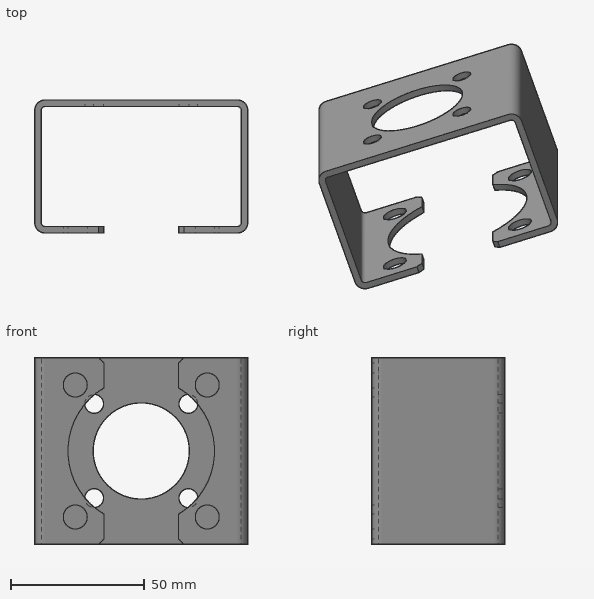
import cadquery as cq
import math

width = 80.0
depth = 50.0
height = 70.0
sheet = 2.5
bend_outer_radius = 4.0
bend_inner_radius = bend_outer_radius - sheet

lip_gap = 28.0
lip_chamfer = 2.0
lip_cutout_diameter = 55.0
lip_hole_diameter = 9.0
lip_hole_spacing = 49.5

bore_diameter = 36.0
back_hole_diameter = 7.0
back_hole_circle_diameter = 50.0
back_hole_spacing = back_hole_circle_diameter * math.sin(math.radians(45))

front_face = -depth / 2
back_face = depth / 2
wall_cut_depth = 3 * sheet


def tube():
    """Closed rectangular tube standing along Z, with rounded bends."""
    outer = cq.Workplane("XY").box(width, depth, height)
    outer = outer.edges("|Z").fillet(bend_outer_radius)
    inner = cq.Workplane("XY").box(width - 2 * sheet, depth - 2 * sheet, height)
    inner = inner.edges("|Z").fillet(bend_inner_radius)
    return outer.cut(inner)


def wall_plane(wall_face):
    """XZ sketch plane lying half a cut depth in front of a wall face."""
    start = wall_face - wall_cut_depth / 2
    return cq.Workplane("XZ", origin=(0, start, 0))


def drill(wall_face, diameter, points):
    """Round cutters along Y that pass through one wall only."""
    return wall_plane(wall_face).pushPoints(points).circle(diameter / 2).extrude(-wall_cut_depth)


def square_pattern(spacing):
    """Four (x, z) corners of a square centred on the part."""
    half = spacing / 2
    return [(x, z) for x in (-half, half) for z in (-half, half)]


def lip_opening():
    """Gap between the lips, flared at both ends by the corner chamfers."""
    half_gap = lip_gap / 2
    half_height = height / 2
    flare = half_gap + lip_chamfer
    shoulder = half_height - lip_chamfer
    outline = [
        (-flare, half_height),
        (flare, half_height),
        (half_gap, shoulder),
        (half_gap, -shoulder),
        (flare, -half_height),
        (-flare, -half_height),
        (-half_gap, -shoulder),
        (-half_gap, shoulder),
    ]
    return wall_plane(front_face).polyline(outline).close().extrude(-wall_cut_depth)


center = [(0, 0)]

result = tube()
result = result.cut(lip_opening())
result = result.cut(drill(front_face, lip_cutout_diameter, center))
result = result.cut(drill(front_face, lip_hole_diameter, square_pattern(lip_hole_spacing)))
result = result.cut(drill(back_face, bore_diameter, center))
result = result.cut(drill(back_face, back_hole_diameter, square_pattern(back_hole_spacing)))